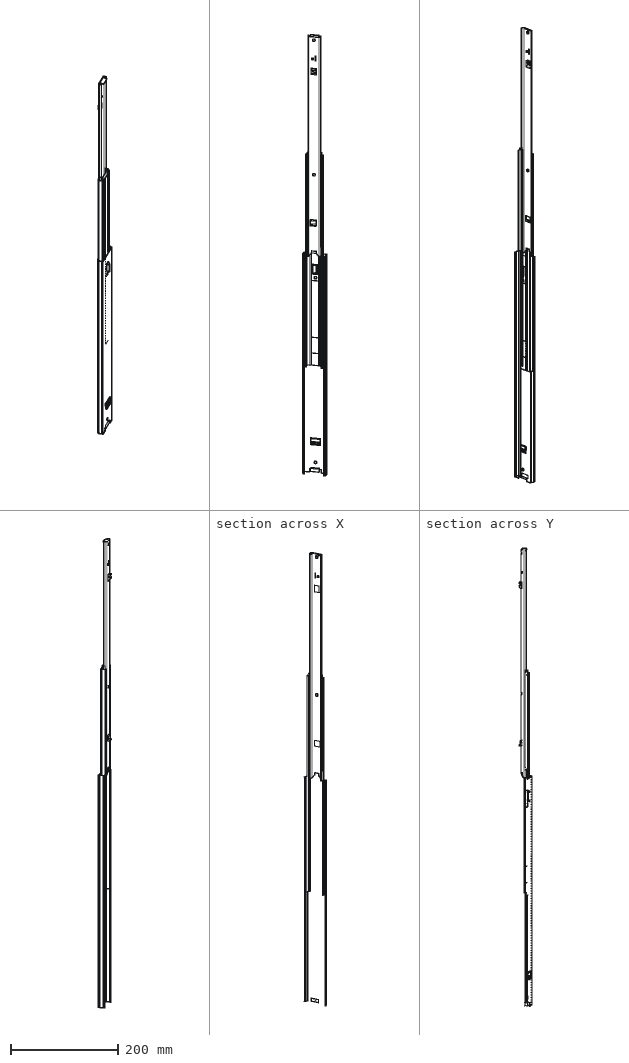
import cadquery as cq


EXTENDED_LENGTH = 900.0
OVERALL_WIDTH = 46.0
BULGE_RISE = 1.3

OUTER_LENGTH = EXTENDED_LENGTH / 2
OUTER_HALF_WIDTH = OVERALL_WIDTH / 2 - BULGE_RISE
OUTER_FRONT = -6.0
OUTER_BACK = 6.0
OUTER_SHEET = 1.35
OUTER_BEND = 2.0
OUTER_LIP_TIP = 18.45
OUTER_BULGE_HALF = 3.15

MIDDLE_BOTTOM = 220.5
MIDDLE_TOP = 654.0
MIDDLE_HALF_WIDTH = 16.0
MIDDLE_FRONT = -7.0
MIDDLE_BACK = 4.5
MIDDLE_SHEET = 1.1
MIDDLE_BEND = 1.35
MIDDLE_BULGE_HALF = 3.15
MIDDLE_LIP_TIP = 13.95
STEP_OUTER = 9.45
STEP_INNER = 6.75
WINDOW_BOTTOM = 394.0
WINDOW_TOP = 427.5

INNER_BOTTOM = 448.0
INNER_TOP = EXTENDED_LENGTH
INNER_HALF_WIDTH = 12.15
INNER_FRONT = -7.65
INNER_BACK = -1.35
INNER_SHEET = 1.35
INNER_BEND = 3.0

SCREW_RADIUS = 2.5
HOOK_REACH = 11.25


def block(x_range, y_range, z_range):
    """Box between the given limits."""
    corner = (x_range[0], y_range[0], z_range[0])
    size = (x_range[1] - x_range[0], y_range[1] - y_range[0], z_range[1] - z_range[0])
    return cq.Workplane("XY").box(*size, centered=False).translate(corner)


def rail(profile, bottom, top):
    """Extrude a cross-section along Z."""
    return profile.extrude(top - bottom).translate((0, 0, bottom))


def side_prism(points, y_range):
    """Extrude an XZ outline between two Y positions."""
    depth = y_range[1] - y_range[0]
    return cq.Workplane("XZ", origin=(0, y_range[1], 0)).polyline(points).close().extrude(depth)


def x_hole(radius, y, z, x_range):
    """Cylinder along X that cuts a hole through a web."""
    length = x_range[1] - x_range[0]
    return cq.Workplane("YZ", origin=(x_range[0], y, z)).circle(radius).extrude(length)


def bulged_channel(front, back, half_width, sheet, bend, lip_tip, bulge_half, bulge_rise):
    """Cross-section of the +Y half of a C-channel open to -X.

    The flange has a rounded bulge outwards in the middle, and ends in a lip turned inward.
    """
    inside = half_width - sheet
    inner_bend = bend - sheet
    middle = (front + back) / 2
    return (
        cq.Workplane("XY")
        .moveTo(back, 0)
        .lineTo(back, half_width)
        .lineTo(middle + bulge_half, half_width)
        .threePointArc((middle, half_width + bulge_rise), (middle - bulge_half, half_width))
        .lineTo(front + bend, half_width)
        .radiusArc((front, half_width - bend), -bend)
        .lineTo(front, lip_tip)
        .lineTo(front + sheet, lip_tip)
        .lineTo(front + sheet, half_width - bend)
        .radiusArc((front + bend, inside), inner_bend)
        .lineTo(middle - bulge_half, inside)
        .threePointArc((middle, inside + bulge_rise), (middle + bulge_half, inside))
        .lineTo(back - sheet, inside)
        .lineTo(back - sheet, 0)
        .close()
    )


def both_halves(half_rail):
    """Join a rail half with its mirror image across Y = 0."""
    return half_rail.union(half_rail.mirror("XZ"))



OUTER_WEB = (OUTER_BACK - OUTER_SHEET, OUTER_BACK)
END_NOTCH_HALF = 11.25
END_NOTCH_TOP = 7.0
END_TAB_HALF = 8.0
END_TAB_Z = (4.0, 10.0)
END_TAB_FRONT = 0.0
OUTER_SCREW_Z = (21.0, 400.0)

TRAY_HALF = 10.0
TRAY_WALL = 1.35
TRAY_REACH = 9.0
TRAY_Z = (56.0, 70.0)
TRAY_POCKET_Z = (62.0, 68.85)
TRAY_SLOT_HALF = 8.0
TRAY_SLOT_Z = (57.0, 59.0)


def pressed_tray():
    """Flat hook pressed out of the back of the outer web."""
    return block((OUTER_WEB[0], TRAY_REACH), (-TRAY_HALF, TRAY_HALF), TRAY_Z)


def tray_recesses():
    """Pocket and narrow slot left in the front of the web behind the tray."""
    depth = (OUTER_WEB[0], TRAY_REACH - TRAY_WALL)
    pocket_half = TRAY_HALF - TRAY_WALL / 2
    pocket = block(depth, (-pocket_half, pocket_half), TRAY_POCKET_Z)
    return pocket.union(block(depth, (-TRAY_SLOT_HALF, TRAY_SLOT_HALF), TRAY_SLOT_Z))


RIDGE_LEFT = 6.0
RIDGE_RIGHT = -4.05
RIDGE_CREST = (0.0, -2.0)
RIDGE_BOTTOM = 406.0
RIDGE_TOP = 427.0
RIDGE_WALL = 1.35
RIDGE_CHAMFER = 3.0
RIDGE_CREST_WALL = 0.45


def ridge_body(inset, crest_inset, bottom, top):
    """Ridge pressed out of the web with a narrow crest; the insets shrink it to its hollow."""
    start = OUTER_WEB[0]
    return (
        cq.Workplane("XY", origin=(0, 0, bottom))
        .polyline(
            [
                (start, RIDGE_LEFT - inset),
                (HOOK_REACH - inset, RIDGE_CREST[0] - crest_inset),
                (HOOK_REACH - inset, RIDGE_CREST[1] + crest_inset),
                (start, RIDGE_RIGHT + inset),
            ]
        )
        .close()
        .extrude(top - bottom)
    )


def pressed_ridge():
    """Narrow hook pressed out of the back of the outer web, chamfered at its lower end."""
    ridge = ridge_body(0, 0, RIDGE_BOTTOM, RIDGE_TOP)
    return ridge.faces(">X").edges("<Z").chamfer(RIDGE_CHAMFER)


def ridge_hollow():
    """Hollow left in the front of the web behind the ridge."""
    return ridge_body(RIDGE_WALL, RIDGE_CREST_WALL, RIDGE_BOTTOM + RIDGE_CHAMFER, RIDGE_TOP - RIDGE_WALL)


def make_outer_rail():
    profile = bulged_channel(
        OUTER_FRONT, OUTER_BACK, OUTER_HALF_WIDTH, OUTER_SHEET, OUTER_BEND, OUTER_LIP_TIP,
        OUTER_BULGE_HALF, BULGE_RISE,
    )
    body = both_halves(rail(profile, 0, OUTER_LENGTH))
    body = body.union(pressed_tray()).cut(tray_recesses())
    body = body.union(pressed_ridge()).cut(ridge_hollow())
    for z in OUTER_SCREW_Z:
        body = body.cut(x_hole(SCREW_RADIUS, 0, z, OUTER_WEB))
    body = body.cut(block(OUTER_WEB, (-END_NOTCH_HALF, END_NOTCH_HALF), (0, END_NOTCH_TOP)))
    return body.union(block((END_TAB_FRONT, OUTER_BACK), (-END_TAB_HALF, END_TAB_HALF), END_TAB_Z))



MIDDLE_SIDE_BACK = MIDDLE_BACK - MIDDLE_SHEET


def web_strip(points):
    """Extrude a cross-section over the length of the middle rail."""
    return rail(cq.Workplane("XY").polyline(points).close(), MIDDLE_BOTTOM, MIDDLE_TOP)


def web_step():
    """Strip of the web set back towards +X, with sloping sides."""
    front = MIDDLE_SIDE_BACK - MIDDLE_SHEET
    return web_strip(
        [
            (front, -STEP_OUTER),
            (MIDDLE_SIDE_BACK, -STEP_OUTER),
            (MIDDLE_BACK, -STEP_INNER),
            (MIDDLE_BACK, STEP_INNER),
            (MIDDLE_SIDE_BACK, STEP_OUTER),
            (front, STEP_OUTER),
        ]
    )


def web_step_space():
    """Open space in front of the set-back strip."""
    front = MIDDLE_SIDE_BACK - MIDDLE_SHEET
    return web_strip(
        [
            (front, -STEP_OUTER),
            (MIDDLE_SIDE_BACK, -STEP_INNER),
            (MIDDLE_SIDE_BACK, STEP_INNER),
            (front, STEP_OUTER),
        ]
    )


def make_middle_rail():
    profile = bulged_channel(
        MIDDLE_FRONT, MIDDLE_SIDE_BACK, MIDDLE_HALF_WIDTH, MIDDLE_SHEET, MIDDLE_BEND, MIDDLE_LIP_TIP,
        MIDDLE_BULGE_HALF, BULGE_RISE,
    )
    body = both_halves(rail(profile, MIDDLE_BOTTOM, MIDDLE_TOP)).union(web_step()).cut(web_step_space())
    window = block((MIDDLE_SIDE_BACK, MIDDLE_BACK), (-STEP_INNER, STEP_INNER), (WINDOW_BOTTOM, WINDOW_TOP))
    return body.cut(window)



STOP_Z = (246.0, 278.0)
STOP_THICKNESS = 1.0


def make_stop_pad():
    """Flat pad lying in the stepped strip of the middle rail."""
    return block((MIDDLE_SIDE_BACK - STOP_THICKNESS, MIDDLE_SIDE_BACK), (-STEP_INNER, STEP_INNER), STOP_Z)



CAGE_Z = (468.0, 660.0)
CAGE_HALF_WIDTH = 13.4
CAGE_SHEET = 1.0
CAGE_FRONT = -4.5
CAGE_BACK = 2.0


def make_ball_cage():
    """U-shaped strip between the inner and the middle rail, reaching past the top of the middle rail."""
    inside = CAGE_HALF_WIDTH - CAGE_SHEET
    body = block((CAGE_FRONT, CAGE_BACK), (-CAGE_HALF_WIDTH, CAGE_HALF_WIDTH), CAGE_Z)
    return body.cut(block((CAGE_FRONT, CAGE_BACK - CAGE_SHEET), (-inside, inside), CAGE_Z))



INNER_WEB = (INNER_FRONT, INNER_FRONT + INNER_SHEET)
FOOT_NOTCH_HALF = 4.5
FOOT_NOTCH_FLARE = 11.0
FOOT_NOTCH_TOP = 460.0
FOOT_NOTCH_FLARE_TOP = 455.0
TOP_TAB_HALF = 8.0
TOP_TAB_BACK = 1.35
INNER_SCREW_Z = (616.5, 893.0)
PIN_HOLE_RADIUS = 2.0
PIN_HOLE_Y = 3.0
PIN_HOLE_Z = 854.0
SLIT_Y = (-4.05, -3.0)
SLIT_Z = (850.5, 860.0)
SLIT_DEPTH = 1.0

HOOK_TIP = -HOOK_REACH
UPPER_HOOK_HALF = 4.95
UPPER_HOOK_NECK = -9.0
UPPER_HOOK_Z = 821.0
LOWER_HOOK_Y = (-4.95, 6.75)
LOWER_HOOK_NECK = -9.45
LOWER_HOOK_Z = 512.0


def hook(heights, base, y_range):
    """Hook on the front of the inner web, from pairs of X and height above its base."""
    return side_prism([(x, base + height) for x, height in heights], y_range)


def upper_hook():
    """Forked hook with two prongs."""
    root = INNER_WEB[1]
    heights = [
        (root, 0),
        (UPPER_HOOK_NECK, 3.0),
        (HOOK_TIP, 5.0),
        (HOOK_TIP, 8.0),
        (UPPER_HOOK_NECK, 10.0),
        (UPPER_HOOK_NECK, 11.0),
        (HOOK_TIP, 12.0),
        (HOOK_TIP, 14.0),
        (root, 14.0),
    ]
    return hook(heights, UPPER_HOOK_Z, (-UPPER_HOOK_HALF, UPPER_HOOK_HALF))


def lower_hook():
    """Hook with a flared lower lip."""
    root = INNER_WEB[1]
    heights = [
        (root, 0),
        (INNER_FRONT, 1.0),
        (HOOK_TIP, 1.0),
        (HOOK_TIP, 3.0),
        (LOWER_HOOK_NECK, 4.5),
        (LOWER_HOOK_NECK, 11.0),
        (root, 13.5),
    ]
    return hook(heights, LOWER_HOOK_Z, LOWER_HOOK_Y)


def foot_notch():
    """Notch in the foot of the web, flaring towards the end."""
    half_outline = [(FOOT_NOTCH_FLARE, INNER_BOTTOM), (FOOT_NOTCH_HALF, FOOT_NOTCH_FLARE_TOP),
                    (FOOT_NOTCH_HALF, FOOT_NOTCH_TOP)]
    mirrored = [(-y, z) for y, z in reversed(half_outline)]
    plane = cq.Workplane("YZ", origin=(INNER_FRONT, 0, 0))
    return plane.polyline(half_outline + mirrored).close().extrude(INNER_SHEET)


def make_inner_rail():
    inside = INNER_HALF_WIDTH - INNER_SHEET
    body = block(
        (INNER_FRONT, INNER_BACK), (-INNER_HALF_WIDTH, INNER_HALF_WIDTH), (INNER_BOTTOM, INNER_TOP)
    )
    body = body.edges("|Z and <X").fillet(INNER_BEND)
    hollow = block((INNER_WEB[1], INNER_BACK), (-inside, inside), (INNER_BOTTOM, INNER_TOP))
    body = body.cut(hollow.edges("|Z and <X").fillet(INNER_BEND - INNER_SHEET))
    body = body.cut(foot_notch())
    top_tab_z = (INNER_TOP - INNER_SHEET, INNER_TOP)
    body = body.union(block((INNER_FRONT, TOP_TAB_BACK), (-TOP_TAB_HALF, TOP_TAB_HALF), top_tab_z))
    body = body.union(upper_hook()).union(lower_hook())
    for z in INNER_SCREW_Z:
        body = body.cut(x_hole(SCREW_RADIUS, 0, z, INNER_WEB))
    body = body.cut(x_hole(PIN_HOLE_RADIUS, PIN_HOLE_Y, PIN_HOLE_Z, INNER_WEB))
    return body.cut(block((INNER_FRONT, INNER_FRONT + SLIT_DEPTH), SLIT_Y, SLIT_Z))


outer_rail = make_outer_rail()
middle_rail = make_middle_rail()
stop_pad = make_stop_pad()
ball_cage = make_ball_cage()
inner_rail = make_inner_rail()

result = cq.Compound.makeCompound(
    [outer_rail.val(), middle_rail.val(), stop_pad.val(), ball_cage.val(), inner_rail.val()]
)